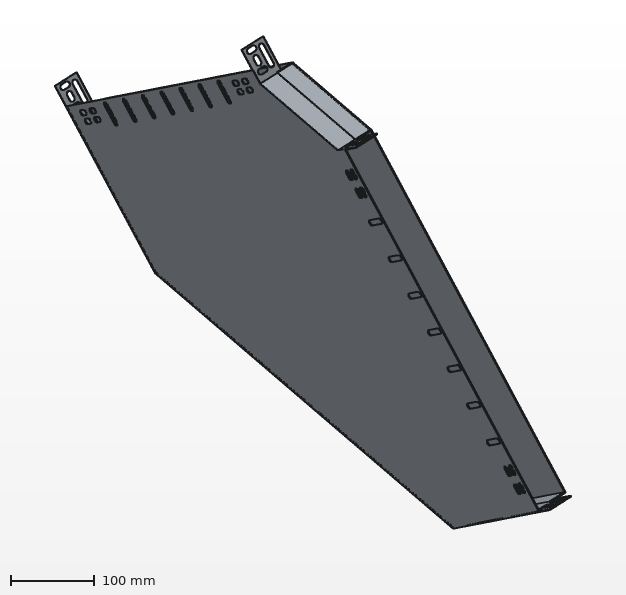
import cadquery as cq
import math


sheet = 1.4
depth = 52.0
tray_wall = 27.0
inner_wall = 144.0
leg_width = 499.0
outer_leg = 229.0
tray_stub = 18.0
cover_stub = 1.0

tab_length = 28.0
tab_height = 34.0

slot_length = 32.0
slot_width = 7.0
hole_length = 14.0
slot_count = 7
slot_pitch = 50.0
slot_setback = 20.0
hole_spots_along = (34.0, 59.0)
hole_spots_setback = (12.0, 24.0)
tab_slot_height = 26.0
tab_hole_height = 12.0
tab_slot_spot = 22.0
tab_hole_spots = (6.0, 21.0, 35.0)

tilt_x = -0.34
tilt_y = -1.5
tilt_z = 1.2

diagonal = math.sqrt(0.5)
inner_corner = (inner_wall / 2, 0, 0)
tab_tip = tray_stub + tab_length

leg_plane = cq.Plane(inner_corner, (diagonal, 0, -diagonal), (0, -1, 0))
side_plane = cq.Plane(inner_corner, (diagonal, 0, diagonal), (-diagonal, 0, diagonal))


def bend_outline(stub):
    """Outline of the bend whose legs end `stub` beyond the inside corner."""

    def leg_point(across, along):
        x = inner_corner[0] + diagonal * (across + along)
        z = diagonal * (along - across)
        return (x, z)

    right = [
        leg_point(0, 0),
        leg_point(0, stub),
        leg_point(leg_width, stub),
        leg_point(leg_width, tray_stub - outer_leg),
    ]
    left = [(-x, z) for x, z in reversed(right)]
    return right + left


def bend_prism(stub, bottom, top):
    outline = cq.Workplane("XZ", origin=(0, bottom, 0)).polyline(bend_outline(stub)).close()
    return outline.extrude(bottom - top)


def bend_cavity(stub, bottom, top):
    """Space between the side walls, running out through the open leg ends."""
    outline = cq.Workplane("XZ", origin=(0, bottom, 0)).polyline(bend_outline(stub + 2 * sheet)).close()
    return outline.offset2D(-sheet, "intersection").extrude(bottom - top)


def both_legs(right_leg):
    return right_leg.union(right_leg.mirror("YZ"))


def wall_tabs():
    """Tabs that continue the inner and outer wall of each leg."""
    tab_start = cover_stub
    tab_middle = (tab_start + tab_tip) / 2
    wall_centres = [(sheet / 2, tab_middle), (leg_width - sheet / 2, tab_middle)]
    tabs = cq.Workplane(leg_plane).pushPoints(wall_centres).rect(sheet, tab_tip - tab_start)
    return both_legs(tabs.extrude(-tab_height))


def tab_cuts():
    """One long slot and three short slots of alternating direction, through both tabs of a leg."""
    side = cq.Workplane(side_plane)
    far, middle, near = [tab_tip - spot for spot in tab_hole_spots]
    cuts = side.center(tab_tip - tab_slot_spot, tab_slot_height).slot2D(slot_length, slot_width)
    cuts = cuts.extrude(-leg_width)
    upright = side.pushPoints([(far, tab_hole_height), (near, tab_hole_height)])
    cuts = cuts.union(upright.slot2D(hole_length, slot_width, 90).extrude(-leg_width))
    lengthwise = side.center(middle, tab_hole_height).slot2D(hole_length, slot_width)
    return both_legs(cuts.union(lengthwise.extrude(-leg_width)))


def floor_cuts():
    """Row of long slots along each open end, with a group of four short slots near each wall."""
    first_slot = leg_width / 2 - slot_pitch * (slot_count - 1) / 2
    long_spots = [(first_slot + i * slot_pitch, tray_stub - slot_setback) for i in range(slot_count)]
    short_spots = [
        (across, tray_stub - setback)
        for along in hole_spots_along
        for across in (along, leg_width - along)
        for setback in hole_spots_setback
    ]
    floor = cq.Workplane(leg_plane)
    long_slots = floor.pushPoints(long_spots).slot2D(slot_length, slot_width, 90).extrude(-sheet)
    short_slots = floor.pushPoints(short_spots).slot2D(hole_length, slot_width).extrude(-sheet)
    return both_legs(long_slots.union(short_slots))


def tilted(body):
    origin = (0, 0, 0)
    body = body.rotate(origin, (1, 0, 0), tilt_x)
    body = body.rotate(origin, (0, 1, 0), tilt_y)
    return body.rotate(origin, (0, 0, 1), tilt_z)


def make_tray():
    tray = bend_prism(tray_stub, 0, tray_wall).cut(bend_cavity(tray_stub, sheet, tray_wall))
    tray = tray.union(wall_tabs())
    return tray.cut(tab_cuts()).cut(floor_cuts())


def make_cover():
    cover = bend_prism(cover_stub, tray_wall, depth)
    return cover.cut(bend_cavity(cover_stub, tray_wall, depth - sheet))


tray = tilted(make_tray())
cover = tilted(make_cover())

result = cq.Compound.makeCompound([tray.solids().val(), cover.solids().val()])